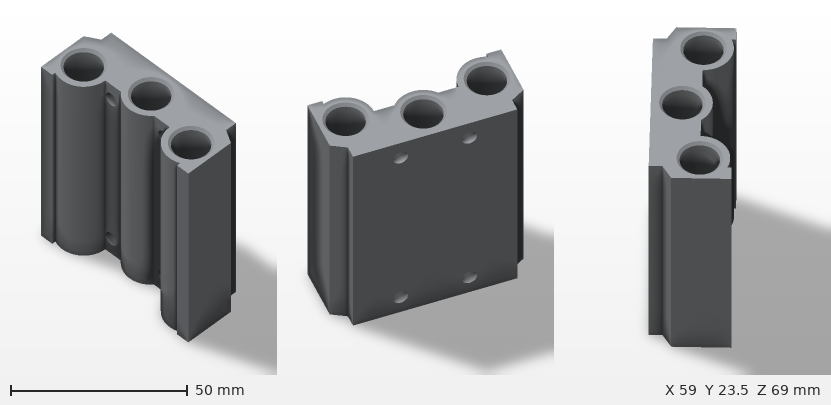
import cadquery as cq
import math

WIDTH = 59.0
DEPTH = 23.5
LENGTH = 69.0
BACK_Y = DEPTH / 2
FRONT_Y = -DEPTH / 2

STEP_WIDTH = 4.5
SHOULDER_DEPTH = 3.9
SLOPE_ANGLE = 30.0

BORE_DIAMETER = 11.45
BORE_MOUTH_DIAMETER = 13.15
WALL_RADIUS = 8.6
SIDE_BORE_X = 21.5
SIDE_BORE_DEPTH = 14.4
CENTER_BORE_DEPTH = 8.95
SIDE_BORE_Y = BACK_Y - SIDE_BORE_DEPTH
CENTER_BORE_Y = BACK_Y - CENTER_BORE_DEPTH
WEB_FRONT_Y = SIDE_BORE_Y

MOUNT_DIAMETER = 4.5
MOUNT_SPACING_X = 21.0
MOUNT_SPACING_Z = 57.0

BORE_CENTERS = [
    (-SIDE_BORE_X, SIDE_BORE_Y),
    (0, CENTER_BORE_Y),
    (SIDE_BORE_X, SIDE_BORE_Y),
]


def half_chord(radius, offset):
    """Half length of a circle's chord lying at the given offset from its center."""
    return math.sqrt(radius**2 - offset**2)


def make_body():
    """Extrude the right half of the profile and mirror it to the left."""
    side_x = WIDTH / 2
    step_x = side_x - STEP_WIDTH
    shoulder_y = BACK_Y - SHOULDER_DEPTH
    slope_end_y = shoulder_y - STEP_WIDTH * math.tan(math.radians(SLOPE_ANGLE))

    foot_arc_y = SIDE_BORE_Y - half_chord(WALL_RADIUS, step_x - SIDE_BORE_X)
    side_wall_inner_x = SIDE_BORE_X - WALL_RADIUS
    side_wall_middle = (
        SIDE_BORE_X - WALL_RADIUS * math.sin(math.pi / 4),
        SIDE_BORE_Y - WALL_RADIUS * math.cos(math.pi / 4),
    )
    center_wall_x = half_chord(WALL_RADIUS, CENTER_BORE_Y - WEB_FRONT_Y)
    center_half_angle = math.asin(center_wall_x / WALL_RADIUS) / 2
    center_wall_middle = (
        WALL_RADIUS * math.sin(center_half_angle),
        CENTER_BORE_Y - WALL_RADIUS * math.cos(center_half_angle),
    )

    half = (
        cq.Workplane("XY")
        .workplane(offset=-LENGTH / 2)
        .moveTo(0, BACK_Y)
        .lineTo(step_x, BACK_Y)
        .lineTo(step_x, shoulder_y)
        .lineTo(side_x, slope_end_y)
        .lineTo(side_x, FRONT_Y)
        .lineTo(step_x, FRONT_Y)
        .lineTo(step_x, foot_arc_y)
        .threePointArc(side_wall_middle, (side_wall_inner_x, WEB_FRONT_Y))
        .lineTo(center_wall_x, WEB_FRONT_Y)
        .threePointArc(center_wall_middle, (0, CENTER_BORE_Y - WALL_RADIUS))
        .close()
        .extrude(LENGTH)
    )
    return half.union(half.mirror("YZ")).clean()


def make_bore(center):
    """Through bore along Z with a 45 degree countersink at both ends."""
    x, y = center
    bore_radius = BORE_DIAMETER / 2
    mouth_radius = BORE_MOUTH_DIAMETER / 2
    end_z = LENGTH / 2
    neck_z = end_z - (mouth_radius - bore_radius)
    outline = [
        (0, -end_z),
        (mouth_radius, -end_z),
        (bore_radius, -neck_z),
        (bore_radius, neck_z),
        (mouth_radius, end_z),
        (0, end_z),
    ]
    bore = cq.Workplane("XZ").polyline(outline).close().revolve(360, (0, 0), (0, 1))
    return bore.translate((x, y, 0))


def make_mounting_holes():
    """Four through holes along Y at the corners of a rectangle."""
    return (
        cq.Workplane("XZ")
        .rect(MOUNT_SPACING_X, MOUNT_SPACING_Z, forConstruction=True)
        .vertices()
        .circle(MOUNT_DIAMETER / 2)
        .extrude(DEPTH, both=True)
    )


result = make_body()
for bore_center in BORE_CENTERS:
    result = result.cut(make_bore(bore_center))
result = result.cut(make_mounting_holes())